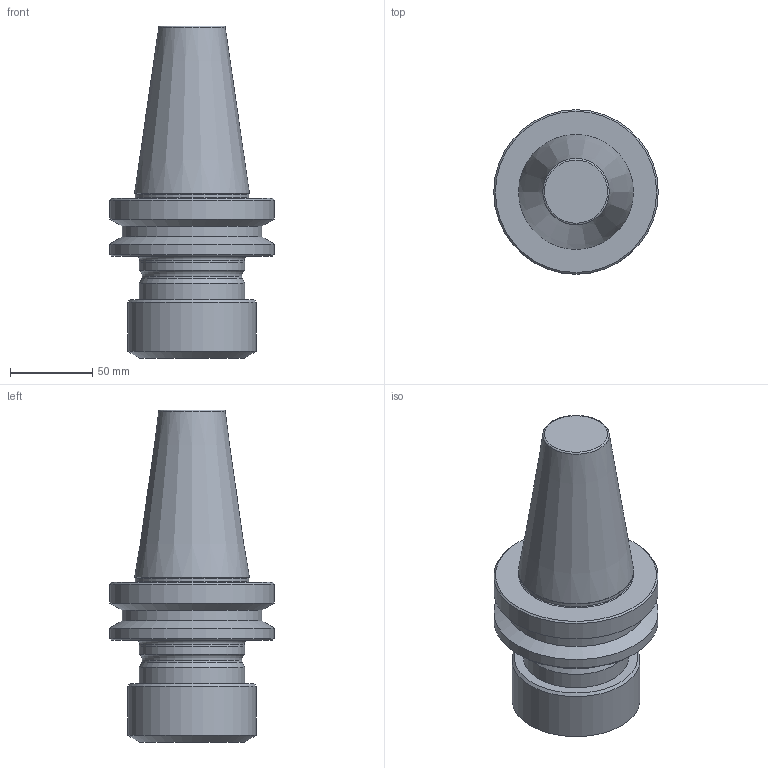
import cadquery as cq
import math

GAUGE_RADIUS = 69.85 / 2
TAPER_LENGTH = 101.8
TAPER_SLOPE = 7 / 48
TAPER_TOP_ROUND = 1.0

RELIEF_RADIUS = 34.4
RELIEF_CHAMFER = GAUGE_RADIUS - RELIEF_RADIUS
RELIEF_FILLET = 0.5

FLANGE_RADIUS = 50.0
FLANGE_TOP = -3.0
FLANGE_BOTTOM = -38.1
FLANGE_CHAMFER = 1.0
V_GROOVE_CENTRE = -23.15
V_GROOVE_FLOOR_RADIUS = 42.5
V_GROOVE_FLOOR_WIDTH = 6.6
V_GROOVE_FLANK_ANGLE = 30.0

COLLAR_RADIUS = 32.0

ROOT_TOP_RADIUS = 33.7
ROOT_WAIST_RADIUS = 31.9
ROOT_WAIST = -40.5
ROOT_BOTTOM = -41.8

COLLAR_GROOVE_TOP = -46.6
COLLAR_GROOVE_WAIST = -50.3
COLLAR_GROOVE_CONE_START = -51.6
COLLAR_GROOVE_BOTTOM = -54.6
COLLAR_GROOVE_WAIST_RADIUS = 30.2
COLLAR_GROOVE_CONE_RADIUS = 30.5

NUT_RADIUS = 39.0
NUT_TOP = -64.5
NUT_BOTTOM = -100.0
NUT_TOP_CHAMFER_HEIGHT = 1.7
NUT_TOP_CHAMFER_WIDTH = 1.4
NUT_BOTTOM_CHAMFER_WIDTH = 7.0
NUT_BOTTOM_CHAMFER_ANGLE = 30.0


def waist_arc_radius(drop, height):
    """Radius of an arc that is vertical at one end and spans the given drop and height."""
    return (drop**2 + height**2) / (2 * drop)


def revolve_profile(profile):
    """Close the half profile along the axis and turn it into a solid."""
    return profile.close().revolve(360, (0, 0, 0), (0, 1, 0))


def make_taper():
    top_radius = GAUGE_RADIUS - TAPER_LENGTH * TAPER_SLOPE
    profile = (
        cq.Workplane("XZ")
        .moveTo(0, TAPER_LENGTH)
        .lineTo(top_radius, TAPER_LENGTH)
        .lineTo(GAUGE_RADIUS, 0)
        .lineTo(0, 0)
    )
    return revolve_profile(profile).faces(">Z").edges().fillet(TAPER_TOP_ROUND)


def make_relief_neck():
    profile = (
        cq.Workplane("XZ")
        .moveTo(0, 0)
        .lineTo(GAUGE_RADIUS, 0)
        .lineTo(RELIEF_RADIUS, -RELIEF_CHAMFER)
        .lineTo(RELIEF_RADIUS, FLANGE_TOP + RELIEF_FILLET)
        .radiusArc((RELIEF_RADIUS + RELIEF_FILLET, FLANGE_TOP), -RELIEF_FILLET)
        .lineTo(0, FLANGE_TOP)
    )
    return revolve_profile(profile)


def make_flange():
    flank_width = FLANGE_RADIUS - V_GROOVE_FLOOR_RADIUS
    floor_half = V_GROOVE_FLOOR_WIDTH / 2
    mouth_half = floor_half + flank_width * math.tan(math.radians(V_GROOVE_FLANK_ANGLE))
    rim_radius = FLANGE_RADIUS - FLANGE_CHAMFER
    profile = (
        cq.Workplane("XZ")
        .moveTo(0, FLANGE_TOP)
        .lineTo(rim_radius, FLANGE_TOP)
        .lineTo(FLANGE_RADIUS, FLANGE_TOP - FLANGE_CHAMFER)
        .lineTo(FLANGE_RADIUS, V_GROOVE_CENTRE + mouth_half)
        .lineTo(V_GROOVE_FLOOR_RADIUS, V_GROOVE_CENTRE + floor_half)
        .lineTo(V_GROOVE_FLOOR_RADIUS, V_GROOVE_CENTRE - floor_half)
        .lineTo(FLANGE_RADIUS, V_GROOVE_CENTRE - mouth_half)
        .lineTo(FLANGE_RADIUS, FLANGE_BOTTOM + FLANGE_CHAMFER)
        .lineTo(rim_radius, FLANGE_BOTTOM)
        .lineTo(0, FLANGE_BOTTOM)
    )
    return revolve_profile(profile)


def make_collar():
    root_arc = waist_arc_radius(
        ROOT_TOP_RADIUS - ROOT_WAIST_RADIUS,
        FLANGE_BOTTOM - ROOT_WAIST,
    )
    groove_arc = waist_arc_radius(
        COLLAR_RADIUS - COLLAR_GROOVE_WAIST_RADIUS,
        COLLAR_GROOVE_TOP - COLLAR_GROOVE_WAIST,
    )
    profile = (
        cq.Workplane("XZ")
        .moveTo(0, FLANGE_BOTTOM)
        .lineTo(ROOT_TOP_RADIUS, FLANGE_BOTTOM)
        .radiusArc((ROOT_WAIST_RADIUS, ROOT_WAIST), -root_arc)
        .lineTo(COLLAR_RADIUS, ROOT_BOTTOM)
        .lineTo(COLLAR_RADIUS, COLLAR_GROOVE_TOP)
        .radiusArc((COLLAR_GROOVE_WAIST_RADIUS, COLLAR_GROOVE_WAIST), -groove_arc)
        .lineTo(COLLAR_GROOVE_CONE_RADIUS, COLLAR_GROOVE_CONE_START)
        .lineTo(COLLAR_RADIUS, COLLAR_GROOVE_BOTTOM)
        .lineTo(COLLAR_RADIUS, NUT_TOP)
        .lineTo(0, NUT_TOP)
    )
    return revolve_profile(profile)


def make_nut():
    chamfer_slope = math.tan(math.radians(NUT_BOTTOM_CHAMFER_ANGLE))
    bottom_chamfer_height = NUT_BOTTOM_CHAMFER_WIDTH * chamfer_slope
    profile = (
        cq.Workplane("XZ")
        .moveTo(0, NUT_TOP)
        .lineTo(NUT_RADIUS - NUT_TOP_CHAMFER_WIDTH, NUT_TOP)
        .lineTo(NUT_RADIUS, NUT_TOP - NUT_TOP_CHAMFER_HEIGHT)
        .lineTo(NUT_RADIUS, NUT_BOTTOM + bottom_chamfer_height)
        .lineTo(NUT_RADIUS - NUT_BOTTOM_CHAMFER_WIDTH, NUT_BOTTOM)
        .lineTo(0, NUT_BOTTOM)
    )
    return revolve_profile(profile)


result = (
    make_taper()
    .union(make_relief_neck())
    .union(make_flange())
    .union(make_collar())
    .union(make_nut())
)